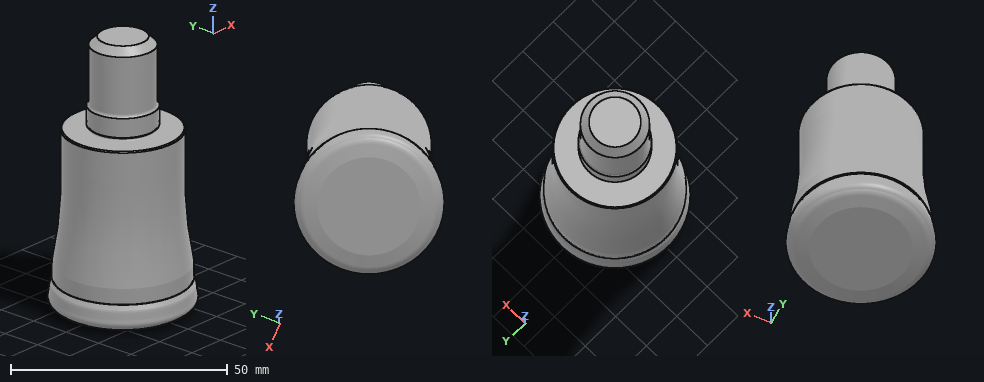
import cadquery as cq
import math

foot_height = 7.25
body_top = 45.0
stud_top = 68.0

foot_flat_radius = 12.0
dome_slope = math.radians(10)
dome_radius = 15.1
dome_height = (dome_radius - foot_flat_radius) * math.tan(dome_slope)
shoulder_radius = 16.4
shoulder_height = 1.2
foot_max_radius = 17.46
foot_max_height = 2.8
rim_radius = 17.41
rim_height = 3.2
taper_bottom_radius = 17.3
taper_bottom_height = 3.8
taper_top_radius = 17.13
taper_top_height = 5.3
collar_middle_radius = 17.07
collar_middle_height = 5.7
collar_radius = 16.95
collar_height = 6.1
foot_top_radius = 16.25

skirt_radius = 16.5
skirt_top = 11.4
skirt_chamfer = skirt_radius - foot_top_radius
barrel_radius = 14.5
flare_top = 37.0
flare_radius = 108.0
barrel_chamfer = 0.3

stud_radius = 8.0
stud_chamfer = 2.0
ring_radius = 8.5
ring_bottom = 46.0
ring_top = 50.8
ring_blend = 1.0
ring_chamfer_height = 0.4
neck_fillet = 0.35


def make_foot():
    """Rounded foot pad with a shallow conical underside."""
    profile = (
        cq.Workplane("XZ")
        .lineTo(foot_flat_radius, 0)
        .lineTo(dome_radius, dome_height)
        .tangentArcPoint((shoulder_radius, shoulder_height), relative=False)
        .threePointArc((foot_max_radius, foot_max_height), (rim_radius, rim_height))
        .lineTo(taper_bottom_radius, taper_bottom_height)
        .lineTo(taper_top_radius, taper_top_height)
        .lineTo(collar_middle_radius, collar_middle_height)
        .lineTo(collar_radius, collar_height)
        .lineTo(foot_top_radius, foot_height)
        .lineTo(0, foot_height)
        .close()
    )
    return profile.revolve(360, (0, 0), (0, 1))


def make_body():
    """Flared sleeve with its plain stud and raised ring."""
    ring_step = ring_radius - stud_radius
    blend_sweep = math.acos(1 - ring_step / ring_blend)
    blend_rise = ring_blend * math.sin(blend_sweep)
    blend_center = stud_radius + ring_blend
    blend_start = ring_top + blend_rise
    blend_middle = (
        blend_center - ring_blend * math.cos(blend_sweep / 2),
        blend_start - ring_blend * math.sin(blend_sweep / 2),
    )

    profile = (
        cq.Workplane("XZ")
        .moveTo(0, foot_height)
        .lineTo(foot_top_radius, foot_height)
        .lineTo(skirt_radius, foot_height + skirt_chamfer)
        .lineTo(skirt_radius, skirt_top)
        .radiusArc((barrel_radius, flare_top), flare_radius)
        .lineTo(barrel_radius, body_top - barrel_chamfer)
        .lineTo(barrel_radius - barrel_chamfer, body_top)
        .lineTo(stud_radius + neck_fillet, body_top)
        .radiusArc((stud_radius, body_top + neck_fillet), neck_fillet)
        .lineTo(stud_radius, ring_bottom - ring_chamfer_height)
        .lineTo(ring_radius, ring_bottom)
        .lineTo(ring_radius, ring_top)
        .threePointArc(blend_middle, (stud_radius, blend_start))
        .lineTo(stud_radius, stud_top - stud_chamfer)
        .lineTo(stud_radius - stud_chamfer, stud_top)
        .lineTo(0, stud_top)
        .close()
    )
    return profile.revolve(360, (0, 0), (0, 1))


foot = make_foot()
body = make_body()
result = cq.Compound.makeCompound([foot.val(), body.val()])